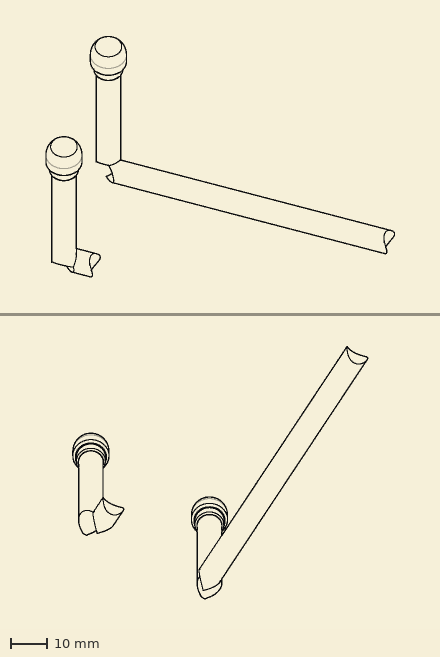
import cadquery as cq
import math

post_radius = 6.8 / 2
bar_radius = 6.65 / 2
elbow_bore_radius = bar_radius
end_notch_radius = 8.0 / 2
post_spacing = 38.0
bar_offset = 2.0
long_bar_reach = 85.0
short_bar_reach = 11.0

head_radius = 10.0 / 2
head_top = 50.0
dome_height = 3.4
head_band_height = 3.0
head_chamfer = 0.7
collar_radius = 8.0 / 2
collar_height = 2.7
collar_chamfer = 0.5

dome_base = head_top - dome_height
band_base = dome_base - head_band_height
head_base = band_base - head_chamfer
collar_chamfer_top = head_base - collar_height
collar_base = collar_chamfer_top - collar_chamfer

dome_top_radius = math.sqrt(head_radius**2 - dome_height**2)
dome_mid_height = dome_height / 2
dome_mid_radius = math.sqrt(head_radius**2 - dome_mid_height**2)


def make_post(post_y):
    """Round post with collar and domed head, standing on the height of the bar axis."""
    profile = (
        cq.Workplane("XZ")
        .moveTo(0, 0)
        .lineTo(post_radius, 0)
        .lineTo(post_radius, collar_base)
        .lineTo(collar_radius - collar_chamfer, collar_base)
        .lineTo(collar_radius, collar_chamfer_top)
        .lineTo(collar_radius, head_base)
        .lineTo(head_radius - head_chamfer, head_base)
        .lineTo(head_radius, band_base)
        .lineTo(head_radius, dome_base)
        .threePointArc((dome_mid_radius, dome_base + dome_mid_height), (dome_top_radius, head_top))
        .lineTo(0, head_top)
        .close()
    )
    return profile.revolve(360, (0, 0), (0, 1)).translate((0, post_y, 0))


def make_bar(bar_y, reach):
    """Bar along X from the post axis, its free end notched by an upright cylinder."""
    bar = cq.Workplane("YZ").center(bar_y, 0).circle(bar_radius).extrude(reach)
    notch = (
        cq.Workplane("XY")
        .center(reach, bar_y)
        .circle(end_notch_radius)
        .extrude(bar_radius * 2, both=True)
    )
    return bar.cut(notch)


def make_arm(side, reach):
    """Post and bar as one body; side is +1 or -1 along Y."""
    post_y = side * post_spacing / 2
    bar_y = post_y - side * bar_offset
    elbow_bore = (
        cq.Workplane("XZ", origin=(0, post_y, 0))
        .circle(elbow_bore_radius)
        .extrude(head_radius * 2, both=True)
    )
    return make_post(post_y).union(make_bar(bar_y, reach)).cut(elbow_bore)


long_arm = make_arm(1, long_bar_reach)
short_arm = make_arm(-1, short_bar_reach)

result = cq.Compound.makeCompound([long_arm.solids().val(), short_arm.solids().val()])